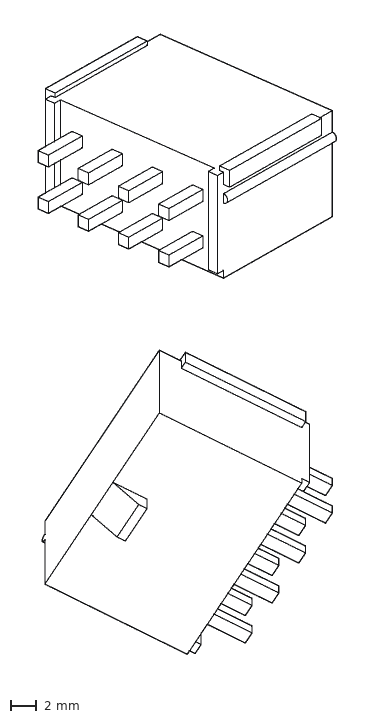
import cadquery as cq

body_width = 17.93
body_depth = 12.8
body_height = 9.56

overall_width = 19.2
rail_width = 1.04
rail_height = 1.52
rail_rise = 0.4
rail_length = 10.83

strip_width = 0.96
strip_depth = 0.71
strip_bottom = 0.71

pin_columns = 4
pin_rows = 2
pin_pitch = 4.19
pin_size = 1.08
pin_length = 4.0
top_row_drop = 2.92

latch_width = 3.4
latch_length = 3.07
latch_flat = 0.75
latch_drop = 1.44

rib_radius = 0.42
rib_drop = 2.36


def block(x_min, y_min, z_min, width, depth, height):
    """Box placed by its lowest corner."""
    return cq.Workplane("XY").box(width, depth, height, centered=False).translate((x_min, y_min, z_min))


def make_rails():
    """Mirrored pair of edge rails that overlap the top corners of the housing."""
    rail_bottom = body_height + rail_rise - rail_height
    rail = block(-overall_width / 2, 0, rail_bottom, rail_width, rail_length, rail_height)
    return rail.union(rail.mirror("YZ"))


def make_strips():
    """Mirrored pair of vertical strips standing out from the pin face."""
    strip_height = body_height - strip_bottom
    strip = block(-body_width / 2, -strip_depth, strip_bottom, strip_width, strip_depth, strip_height)
    return strip.union(strip.mirror("YZ"))


def make_pins():
    """Grid of square pins pointing toward -Y."""
    upper_row_z = body_height - top_row_drop
    grid_centre_z = upper_row_z - pin_pitch * (pin_rows - 1) / 2
    return (
        cq.Workplane("XZ", origin=(0, 0, grid_centre_z))
        .rarray(pin_pitch, pin_pitch, pin_columns, pin_rows)
        .rect(pin_size, pin_size)
        .extrude(pin_length)
    )


def make_latch():
    """Wedge that slopes down from the mating end to a short flat."""
    inner_y = body_depth - latch_length
    profile = [
        (body_depth, 0),
        (inner_y, 0),
        (inner_y, -latch_drop),
        (inner_y + latch_flat, -latch_drop),
    ]
    return cq.Workplane("YZ").polyline(profile).close().extrude(latch_width / 2, both=True)


def make_rib():
    """Full-length round bar, half buried in the +X side of the housing."""
    rib_centre = (body_width / 2, 0, body_height - rib_drop)
    return cq.Workplane("XZ", origin=rib_centre).circle(rib_radius).extrude(-body_depth)


result = block(-body_width / 2, 0, 0, body_width, body_depth, body_height)
for feature in (make_rails(), make_strips(), make_pins(), make_latch(), make_rib()):
    result = result.union(feature)